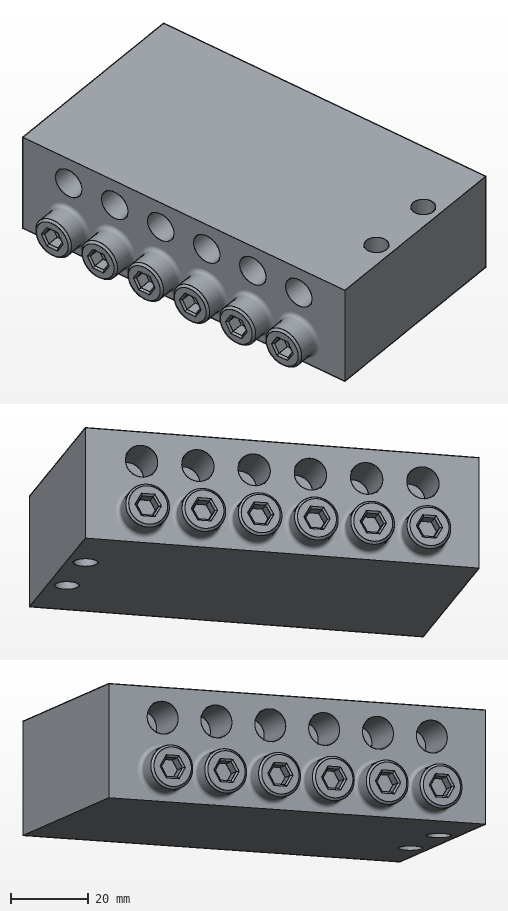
import cadquery as cq
import math

length = 105.0
width = 60.0
height = 30.0

stations = 6
pitch = length / (stations + 1)
row_inset = 8.0

port_diameter = 8.6
port_depth = 15.0

plug_diameter = 11.7
plug_height = 7.0
plug_foot_radius = 1.2
plug_rim_chamfer = 0.6

socket_flats = 5.0
socket_depth = 4.0
socket_chamfer = 0.5
chamfer_angle = 45

mount_diameter = 6.4
mount_inset = 5.0
mount_spacing = 20.0


def row_points(z):
    """Station positions of one row at the given height."""
    return [((i - (stations - 1) / 2) * pitch, z) for i in range(stations)]


def plug_points():
    return row_points(row_inset)


def port_points():
    return row_points(height - row_inset)


def front_plane(offset=0.0):
    """Plane facing -Y, lying the given distance outside the block's front face."""
    return cq.Workplane("XZ", origin=(0, -width / 2 - offset, 0))


def plug_profile():
    """Half section of a plug: radius outwards, height away from the block."""
    radius = plug_diameter / 2
    foot = plug_foot_radius
    rim = plug_rim_chamfer
    diagonal = math.sqrt(0.5)
    foot_middle = (radius + foot * (1 - diagonal), foot * (1 - diagonal))
    return (
        cq.Workplane("XY")
        .lineTo(radius + foot, 0)
        .threePointArc(foot_middle, (radius, foot))
        .lineTo(radius, plug_height - rim)
        .lineTo(radius - rim, plug_height)
        .lineTo(0, plug_height)
        .close()
    )


def front_plugs():
    """Plugs on the -Y side, with their end faces towards -Y."""
    plug = plug_profile().revolve(360, (0, 0, 0), (0, 1, 0)).mirror("XZ")
    plugs = cq.Workplane("XY")
    for x, z in plug_points():
        plugs = plugs.union(plug.translate((x, -width / 2, z)))
    return plugs


def hexagons(across_flats):
    """Hexagons on the plug end faces, with corners pointing along X."""
    across_corners = across_flats / math.cos(math.pi / 6)
    return front_plane(plug_height).pushPoints(plug_points()).polygon(6, across_corners)


def front_sockets():
    mouth_flats = socket_flats + 2 * socket_chamfer
    mouths = hexagons(mouth_flats).extrude(-socket_chamfer, taper=chamfer_angle)
    return hexagons(socket_flats).extrude(-socket_depth).union(mouths)


def front_ports():
    """Blind round ports running inwards from the front face."""
    return front_plane().pushPoints(port_points()).circle(port_diameter / 2).extrude(-port_depth)


def mounting_holes():
    x = length / 2 - mount_inset
    return (
        cq.Workplane("XY")
        .pushPoints([(x, -mount_spacing / 2), (x, mount_spacing / 2)])
        .circle(mount_diameter / 2)
        .extrude(height)
    )


block = cq.Workplane("XY").box(length, width, height, centered=(True, True, False))
plugs = front_plugs()
result = block.union(plugs).union(plugs.mirror("XZ"))
for cutter in (front_sockets(), front_ports()):
    result = result.cut(cutter).cut(cutter.mirror("XZ"))
result = result.cut(mounting_holes())